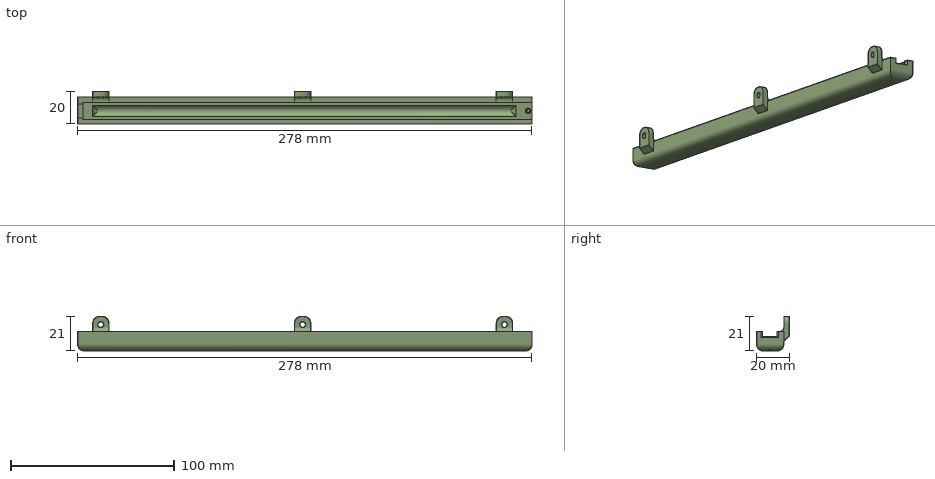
import cadquery as cq

length = 278.0
body_width = 16.7
body_height = 12.0
bottom_radius = 4.2

channel_width = 10.5
channel_center_y = 8.0
channel_depth = 3.5
end_wall = 3.3
notch_width = 8.5
notch_depth = 3.0
channel_floor = body_height - channel_depth

groove_start = 9.2
groove_end = 268.0
groove_width = 6.7
groove_radius = groove_width / 2

pin_hole_diameter = 1.7
pin_countersink_diameter = 3.3
pin_countersink_angle = 90
pin_hole_x = length - 2.5

tab_width = 10.0
tab_thickness = 3.3
tab_top = 21.0
tab_bottom = body_height - 6.0
tab_hole_diameter = 3.3
tab_fillet = 2.5
first_tab_x = 14.2
tab_spacing = 123.5
tab_count = 3
tab_corner_radius = 4.2
tab_hole_z = tab_top - tab_width / 2


def box(x_start, x_end, center_y, width, bottom, top):
    """Box between two X positions and two heights, centered across the rail."""
    size = (x_end - x_start, width, top - bottom)
    return cq.Workplane("XY").box(*size, centered=(False, True, False)).translate((x_start, center_y, bottom))


def make_body():
    body = box(0, length, body_width / 2, body_width, 0, body_height)
    return body.faces("<Z").edges().fillet(bottom_radius)


def make_channel():
    channel = box(end_wall, length, channel_center_y, channel_width, channel_floor, body_height)
    notch = box(0, end_wall, channel_center_y, notch_width, body_height - notch_depth, body_height)
    return channel.union(notch)


def make_groove():
    trough = (
        cq.Workplane("YZ", origin=(groove_start, channel_center_y, channel_floor))
        .circle(groove_radius)
        .extrude(groove_end - groove_start)
    )
    rounded_ends = (
        cq.Workplane("XZ", origin=(0, channel_center_y, channel_floor))
        .moveTo(groove_start, 0)
        .radiusArc((groove_start + groove_radius, -groove_radius), -groove_radius)
        .lineTo(groove_end - groove_radius, -groove_radius)
        .radiusArc((groove_end, 0), -groove_radius)
        .close()
        .extrude(groove_radius, both=True)
    )
    return trough.intersect(rounded_ends)


def drill_pin_hole(body):
    return (
        body.copyWorkplane(cq.Workplane("XY", origin=(pin_hole_x, channel_center_y, channel_floor)))
        .cskHole(pin_hole_diameter, pin_countersink_diameter, pin_countersink_angle)
    )


def make_tab(center_x):
    back = body_width + tab_thickness
    fillet_front = body_width - tab_fillet
    fillet_top = body_height + tab_fillet
    profile = (
        cq.Workplane("YZ", origin=(center_x - tab_width / 2, 0, 0))
        .moveTo(body_width, tab_bottom)
        .lineTo(back, tab_bottom + tab_thickness)
        .lineTo(back, tab_top)
        .lineTo(body_width, tab_top)
        .lineTo(body_width, fillet_top)
        .radiusArc((fillet_front, body_height), tab_fillet)
        .lineTo(body_width, body_height)
        .close()
        .extrude(tab_width)
    )
    profile = profile.edges("|Y and >Z").fillet(tab_corner_radius)
    hole = (
        cq.Workplane("XZ", origin=(center_x, back, tab_hole_z))
        .circle(tab_hole_diameter / 2)
        .extrude(back)
    )
    return profile.cut(hole)


result = drill_pin_hole(make_body().cut(make_channel()).cut(make_groove()))
for index in range(tab_count):
    result = result.union(make_tab(first_tab_x + index * tab_spacing))